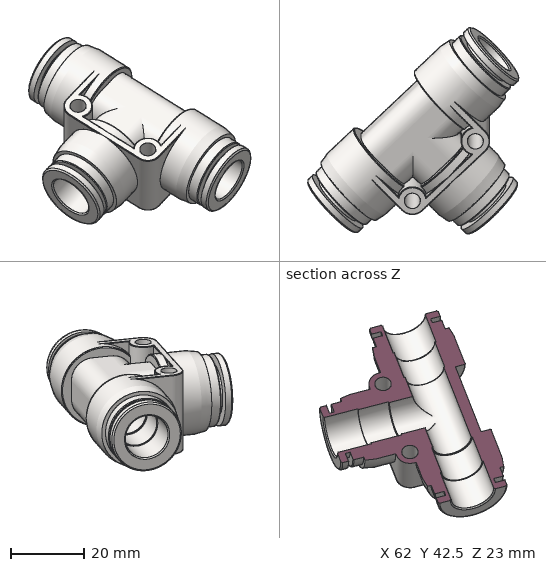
import cadquery as cq

port_reach = 31.0
height = 23.0
body_radius = height / 2
collar_start = 11.3
collar_draft = 0.1
collar_edge = 0.25
taper_start = 21.6
taper_end = 24.55
taper_end_radius = 11.0
ring_end = 27.6
ring_radius = 9.9
ring_edge = 0.25
groove_end = 28.8
groove_radius = 7.2
flange_radius = 9.9
flange_edge = 0.45

sleeve_bore_radius = 6.1
sleeve_bore_edge = 0.4
sleeve_depth = 9.9
tube_bore_radius = 5.75
tube_stop = 12.4
passage_radius = 5.45
passage_edge = 0.2

neck_half_width = 8.7
neck_half_length = collar_start + collar_draft
neck_flat_half_width = 2.7
neck_corner_radius = neck_half_width - neck_flat_half_width

hole_x = 12.0
hole_y = -11.95
hole_radius = 2.2
boss_radius = 3.9
wall_thickness = 2.0
bracket_half_width = hole_x + boss_radius
bracket_front = hole_y - boss_radius
bracket_edge = 0.2
web_thickness = 1.85


def port_shell():
    """Solid of revolution about the X axis with its tip towards +X."""
    rim_start = collar_start + collar_draft
    outline = [
        (collar_start, 0),
        (rim_start, body_radius - collar_edge),
        (rim_start + collar_edge, body_radius),
        (taper_start, body_radius),
        (taper_end, taper_end_radius),
        (taper_end, ring_radius),
        (ring_end - ring_edge, ring_radius),
        (ring_end, ring_radius - ring_edge),
        (ring_end, groove_radius),
        (groove_end, groove_radius),
        (groove_end, flange_radius),
        (port_reach - flange_edge, flange_radius),
        (port_reach, flange_radius - flange_edge),
        (port_reach, 0),
    ]
    return cq.Workplane("XY").polyline(outline).close().revolve(360, (0, 0, 0), (1, 0, 0))


def port_bore():
    """Stepped bore along the X axis from the tip to the tee centre."""
    sleeve_inner_end = port_reach - sleeve_depth
    outline = [
        (0, 0),
        (0, passage_radius),
        (tube_stop - passage_edge, passage_radius),
        (tube_stop, passage_radius + passage_edge),
        (tube_stop, tube_bore_radius),
        (sleeve_inner_end, tube_bore_radius),
        (sleeve_inner_end, sleeve_bore_radius),
        (port_reach - sleeve_bore_edge, sleeve_bore_radius),
        (port_reach, sleeve_bore_radius + sleeve_bore_edge),
        (port_reach, 0),
    ]
    return cq.Workplane("XY").polyline(outline).close().revolve(360, (0, 0, 0), (1, 0, 0))


def neck():
    """Rounded-square bar along X that joins the left and right collars."""
    bar = cq.Workplane("XY").box(2 * neck_half_length, 2 * neck_half_width, 2 * neck_half_width)
    return bar.edges("|X").fillet(neck_corner_radius)


def branch_neck():
    """Front half of the same bar turned along Y, reaching the branch collar."""
    bar = neck().rotate((0, 0, 0), (0, 0, 1), 90)
    front_half = cq.Workplane("XY").box(height, neck_half_length, height)
    front_half = front_half.translate((0, -neck_half_length / 2, 0))
    return bar.intersect(front_half)


def upright_block(half_width, front, block_height):
    """Block centred on X and Z that runs from the tee centre line forward to Y = front."""
    block = cq.Workplane("XY").box(2 * half_width, -front, block_height)
    return block.translate((0, front / 2, 0))


def at_screw_positions(radius, length):
    """Vertical cylinders at both screw positions, centred on mid-height."""
    points = [(-hole_x, hole_y), (hole_x, hole_y)]
    start = cq.Workplane("XY").workplane(offset=-length / 2)
    return start.pushPoints(points).circle(radius).extrude(length)


def bracket():
    slab = upright_block(bracket_half_width, bracket_front, height).edges("|Z and <Y").fillet(boss_radius)
    inner_half_width = bracket_half_width - wall_thickness
    inner_front = bracket_front + wall_thickness
    walls = slab.cut(upright_block(inner_half_width, inner_front, height))
    walls = walls.union(at_screw_positions(boss_radius, height))
    walls = walls.faces(">Z or <Z").edges("not >Y").chamfer(bracket_edge)
    return walls.union(upright_block(inner_half_width, inner_front, web_thickness))


def turned_to_all_ports(feature):
    """Copies of an X-axis feature on the right, left and front ports."""
    copies = feature
    for angle in (180, -90):
        copies = copies.union(feature.rotate((0, 0, 0), (0, 0, 1), angle))
    return copies


body = neck().union(branch_neck()).union(bracket())
body = body.union(turned_to_all_ports(port_shell()))
body = body.cut(turned_to_all_ports(port_bore()))
result = body.cut(at_screw_positions(hole_radius, height))